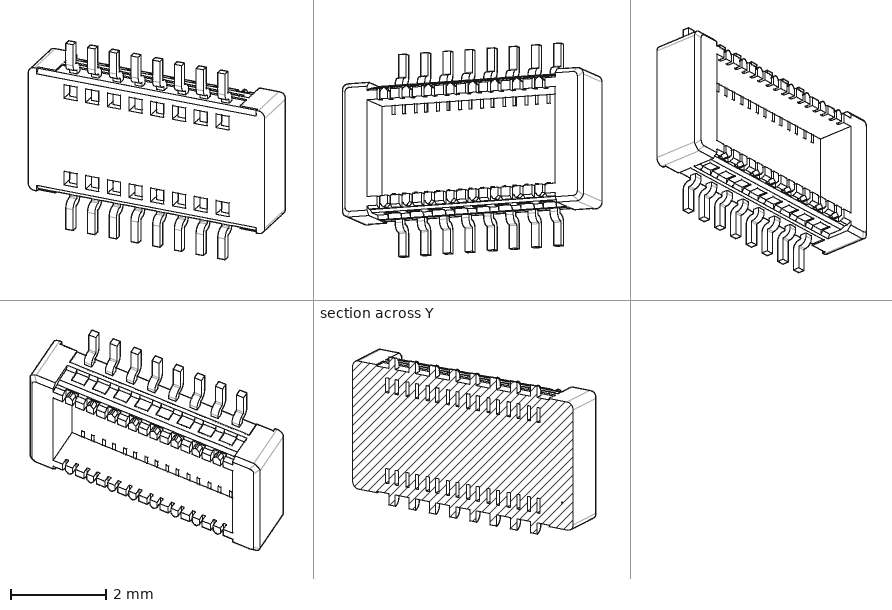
import cadquery as cq


body_length = 5.45
body_width = 2.84
body_height = 1.15
corner_radius = 0.15
rim_chamfer = 0.10
half_width = body_width / 2

cavity_length = 4.25
cavity_half_width = 1.03
cavity_floor = 0.30

contacts_per_row = 8
pitch = 0.50
contact_width = 0.17
contact_thickness = 0.15
contact_inner_z = 0.845
contact_positions = [(i - (contacts_per_row - 1) / 2) * pitch for i in range(contacts_per_row)]

tail_end_z = 2.15
tail_drop = 0.05
foot_bottom = -tail_drop
foot_top = foot_bottom + contact_thickness
arm_bottom = cavity_floor - contact_thickness
web_bottom_z = 1.49
bend_inner_radius = (arm_bottom - foot_top) / 2
bend_outer_radius = bend_inner_radius + contact_thickness

ridge_z = 1.27
ridge_width = 0.04
bevel_start_z = 1.20

slot_width = 0.30
window_outer_z = 1.16
notch_bottom = 1.00

step_floor_z = 1.33
rim_wall_z = 1.28
rim_edge_z = 1.23
rib_edge = 0.51
rib_slope_end = 0.56
wall_slope_start = 0.87
wall_slope_end = 0.97
pocket_floor_z = 1.30
pocket_top = 0.76

relief_depth = 0.03
relief_top = 0.41
relief_z = half_width - relief_depth
edge_bevel_length = 5.05
edge_bevel_height = 0.07
edge_bevel_depth = 0.10


def block(center_x, length, y_min, y_max, z_min, z_max):
    """Axis-aligned box centered on center_x."""
    return cq.Workplane("XY").box(length, y_max - y_min, z_max - z_min, centered=(True, False, False)).translate(
        (center_x, y_min, z_min)
    )


def yz_prism(outline, center_x, length):
    """Extrude a closed (Y, Z) outline along X, centered on center_x."""
    return outline.close().extrude(length / 2, both=True).translate((center_x, 0, 0))


def both_sides(shape):
    """Join a shape of the +Z side with its mirror image on the -Z side."""
    return shape.union(shape.mirror("XY"))


def rim_envelope():
    """Frustum with 45 degree flanks, rounded along its slanted corners, that bevels the housing rim."""
    flank = 2 * body_height
    spread = flank - rim_chamfer
    envelope = block(0, body_length + 2 * spread, -flank, body_height, -half_width - spread, half_width + spread)
    envelope = envelope.faces(">Y").chamfer(flank)
    return envelope.edges("not(|X or |Y or |Z)").fillet(corner_radius)


def housing_shell():
    """Block with rounded corners and a beveled rim, hollowed from the mating side."""
    shell = block(0, body_length, 0, body_height, -half_width, half_width)
    shell = shell.edges("|Y").fillet(corner_radius)
    shell = shell.intersect(rim_envelope())
    return shell.cut(block(0, cavity_length, cavity_floor, body_height, -cavity_half_width, cavity_half_width))


def side_recess():
    """Stepped recess between the end blocks, above the rib of the long side."""
    outline = cq.Workplane("YZ").polyline([
        (rib_edge, half_width),
        (rib_slope_end, step_floor_z),
        (wall_slope_start, step_floor_z),
        (wall_slope_end, rim_wall_z),
        (body_height - rim_chamfer, rim_wall_z),
        (body_height, rim_edge_z),
        (body_height, half_width),
    ])
    return yz_prism(outline, 0, cavity_length)


def mounting_edge_relief():
    """Shallow relief and bevel along the edge of the mounting face."""
    relief = block(0, cavity_length, 0, relief_top, relief_z, half_width)
    bevel = cq.Workplane("YZ").polyline([
        (0, relief_z - edge_bevel_depth),
        (edge_bevel_height, relief_z),
        (edge_bevel_height, half_width),
        (0, half_width),
    ])
    return relief.union(yz_prism(bevel, 0, edge_bevel_length))


def contact_slot(x):
    """Floor window, rim notch and outer pocket belonging to one contact."""
    window = block(x, slot_width, 0, cavity_floor, contact_inner_z, window_outer_z)
    notch = block(x, slot_width, notch_bottom, body_height, cavity_half_width, half_width)
    pocket = block(x, slot_width, rib_edge, pocket_top, pocket_floor_z, half_width)
    return window.union(notch).union(pocket)


def contact_tail(x):
    """Flat arm through the housing floor, bent down and out into the solder foot."""
    web_top_z = web_bottom_z + contact_thickness
    inner = bend_inner_radius
    outer = bend_outer_radius
    bend_y = foot_top + inner
    arm_bend_z = web_bottom_z - inner
    foot_bend_z = web_top_z + inner
    diagonal = 0.5 ** 0.5

    outline = (
        cq.Workplane("YZ")
        .moveTo(cavity_floor, contact_inner_z)
        .lineTo(cavity_floor, arm_bend_z)
        .threePointArc(
            (bend_y + outer * diagonal, arm_bend_z + outer * diagonal),
            (bend_y, web_top_z),
        )
        .threePointArc(
            (bend_y - inner * diagonal, foot_bend_z - inner * diagonal),
            (foot_top, foot_bend_z),
        )
        .lineTo(foot_top, tail_end_z)
        .lineTo(foot_bottom, tail_end_z)
        .lineTo(foot_bottom, foot_bend_z)
        .threePointArc(
            (bend_y - outer * diagonal, foot_bend_z - outer * diagonal),
            (bend_y, web_bottom_z),
        )
        .threePointArc(
            (bend_y + inner * diagonal, arm_bend_z + inner * diagonal),
            (arm_bottom, arm_bend_z),
        )
        .lineTo(arm_bottom, contact_inner_z)
    )
    return yz_prism(outline, x, contact_width)


def contact_post(x):
    """Upper end of the contact, standing in the rim notch with a beveled outer ridge."""
    section = cq.Workplane("XZ", origin=(x, body_height, 0)).polyline([
        (-contact_width / 2, cavity_half_width),
        (contact_width / 2, cavity_half_width),
        (contact_width / 2, bevel_start_z),
        (ridge_width / 2, ridge_z),
        (-ridge_width / 2, ridge_z),
        (-contact_width / 2, bevel_start_z),
    ])
    return section.close().extrude(body_height - notch_bottom)


housing = housing_shell()
housing = housing.cut(both_sides(side_recess()))
housing = housing.cut(both_sides(mounting_edge_relief()))
for contact_x in contact_positions:
    housing = housing.cut(both_sides(contact_slot(contact_x)))

result = housing
for contact_x in contact_positions:
    contact = contact_tail(contact_x).union(contact_post(contact_x))
    result = result.union(both_sides(contact))